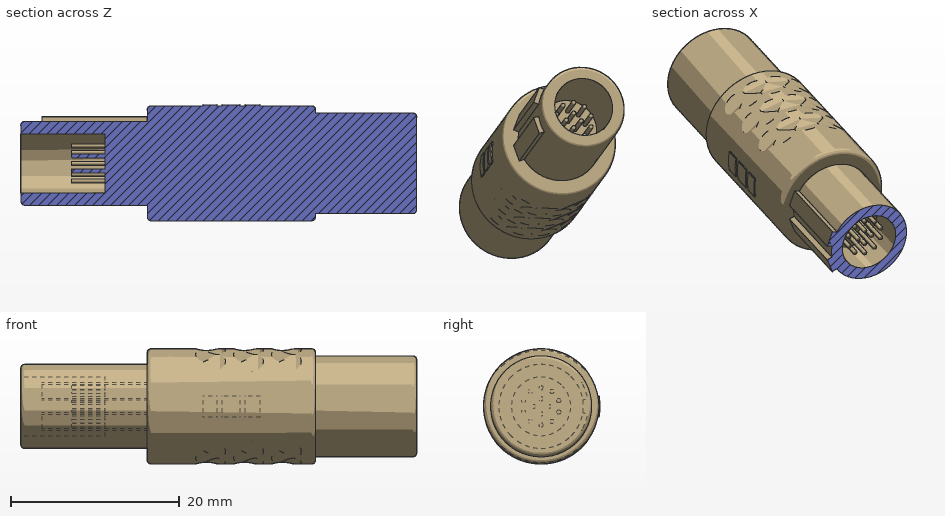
import cadquery as cq
import math


total_length = 47.0
front_length = 15.0
sleeve_length = 20.0
front_radius = 5.0
sleeve_radius = 6.85
rear_radius = 6.0
edge_round = 0.5
sleeve_end = front_length + sleeve_length

bore_radius = 3.5
bore_depth = 10.0

pin_radius = 0.25
pin_length = 4.0
pin_tip_round = 0.12
pin_root = 0.5
pin_rings = ((10, 2.2), (4, 0.9))

rib_start = 2.5
rib_width = 2.0
rib_top = 5.55
rib_angle = 20.0
rib_root_radius = (front_radius + bore_radius) / 2

scallop_depth = 0.21
scallop_half_width = 1.29
scallop_radius = (scallop_half_width**2 + scallop_depth**2) / (2 * scallop_depth)
scallop_cut_length = 6.0
scallop_step = 360.0 / 28
scallop_group_count = 3
scallop_group_pitch = 4.5
scallop_first_x = 22.05
scallop_column_offset = 0.95
front_column_steps = (-2, 0, 2)
rear_column_steps = (-3, -1, 1, 3)

pad_height = 0.15
pad_width = 2.5
pad_spans = ((21.65, 23.3), (23.9, 26.0), (26.6, 28.4))


def rod(start, length, radius):
    """Cylinder along +X."""
    return cq.Workplane("YZ", origin=(start, 0, 0)).circle(radius).extrude(length)


def make_body():
    front = rod(0, front_length, front_radius).faces("<X").edges().fillet(edge_round)
    sleeve = rod(front_length, sleeve_length, sleeve_radius).edges("%CIRCLE").fillet(edge_round)
    rear = rod(sleeve_end, total_length - sleeve_end, rear_radius).faces(">X").edges().fillet(edge_round)
    return front.union(sleeve).union(rear)


def make_rib(angle):
    rib = cq.Workplane("XY").box(
        front_length - rib_start, rib_top - bore_radius, rib_width, centered=(False, False, True)
    )
    rib = rib.translate((rib_start, bore_radius, 0))
    rib = rib.rotate((0, 0, 0), (1, 0, 0), angle)
    return rib.cut(rod(0, front_length, rib_root_radius))


def make_pins():
    pin_positions = []
    for count, ring_radius in pin_rings:
        for index in range(count):
            angle = 2 * math.pi * index / count
            pin_positions.append((ring_radius * math.sin(angle), ring_radius * math.cos(angle)))
    pins = cq.Workplane("YZ", origin=(bore_depth + pin_root, 0, 0)).pushPoints(pin_positions)
    pins = pins.circle(pin_radius).extrude(-(pin_length + pin_root))
    return pins.faces("<X").edges().fillet(pin_tip_round)


def make_scallop(x, angle):
    axis_height = sleeve_radius - scallop_depth + scallop_radius
    cutter = cq.Workplane("XZ", origin=(x, scallop_cut_length / 2, axis_height))
    cutter = cutter.circle(scallop_radius).extrude(scallop_cut_length)
    return cutter.rotate((0, 0, 0), (1, 0, 0), angle)


def cut_scallops(body):
    columns = ((0.0, front_column_steps), (scallop_column_offset, rear_column_steps))
    for group in range(scallop_group_count):
        for offset, steps in columns:
            x = scallop_first_x + group * scallop_group_pitch + offset
            for side_angle in (0.0, 180.0):
                for step in steps:
                    body = body.cut(make_scallop(x, side_angle + step * scallop_step))
    return body


def make_pad(start, end):
    block = cq.Workplane("XY").box(
        end - start, sleeve_radius + pad_height, pad_width, centered=(False, False, True)
    )
    block = block.translate((start, 0, 0))
    ring = rod(start, end - start, sleeve_radius + pad_height)
    ring = ring.cut(rod(start, end - start, sleeve_radius - pad_height))
    return block.intersect(ring)


result = cut_scallops(make_body())
for rib_side in (-1, 1):
    result = result.union(make_rib(rib_side * rib_angle))
for pad_start, pad_end in pad_spans:
    result = result.union(make_pad(pad_start, pad_end))
result = result.cut(rod(0, bore_depth, bore_radius)).union(make_pins())